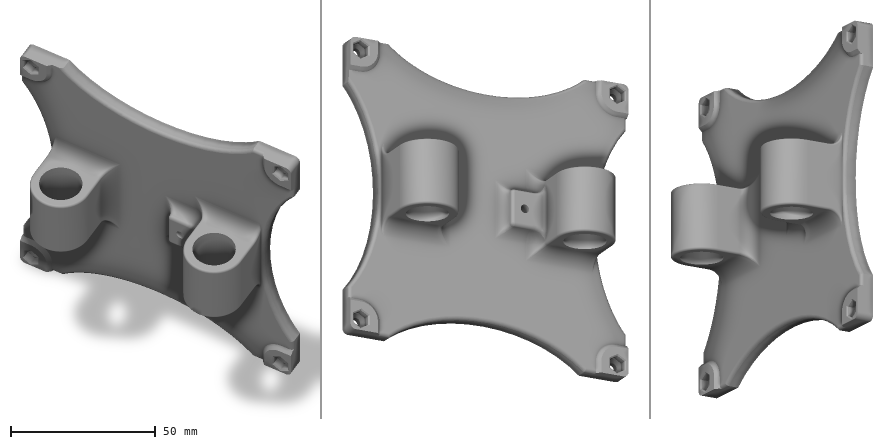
import cadquery as cq
import math

width = 107.5
height = 107.7
plate_thickness = 5.0
plate_edge_round = 1.2
corner_radius = 2.0

notch_depth = 11.8
notch_half_length = 47.4
notch_half_depth = 30.2

pad_thickness = 6.4
pad_radius = 7.8
hole_inset = 4.2
screw_diameter = 3.2
nut_flats = 5.6
nut_depth = 3.0
nut_chamfer = 0.4

barrel_spacing = 60.9
barrel_radius = 10.7
barrel_length = 23.9
barrel_reach = 29.6
bore_diameter = 15.0
flare_radius = 5.0
barrel_edge_round = 0.8

boss_left = 6.8
boss_width = 13.7
boss_height = 5.0
boss_hole_x = 11.8
boss_hole_diameter = 3.1
boss_base_round = 3.8
boss_edge_round = 1.3

front_y = -plate_thickness
root_y = front_y + plate_edge_round
bore_y = barrel_radius - barrel_reach
barrel_x = barrel_spacing / 2
barrel_inner_x = barrel_x - barrel_radius
boss_y = front_y - boss_height
hole_centres = [
    (side * (width / 2 - hole_inset), level * (height / 2 - hole_inset))
    for side in (-1, 1)
    for level in (-1, 1)
]

tolerance = 0.01


def front_plane(y=0):
    """Sketch plane facing -Y; local axes are X and Z."""
    return cq.Workplane("XZ", origin=(0, y, 0))



def is_rounded_plate_edge(edge):
    """All front edges are rounded except the straight ones at the upper left corner."""
    middle = edge.Center()
    upper_left = middle.x < 0 < middle.z
    return not (upper_left and edge.geomType() == "LINE")


def make_plate():
    plate = front_plane().rect(width, height).extrude(plate_thickness)
    half_sides = (height / 2, width / 2, height / 2, width / 2)
    for quarter, half_side in enumerate(half_sides):
        notch = (
            front_plane()
            .center(0, half_side - notch_depth + notch_half_depth)
            .ellipse(notch_half_length, notch_half_depth)
            .extrude(plate_thickness)
            .rotate((0, 0, 0), (0, 1, 0), 90 * quarter)
        )
        plate = plate.cut(notch)
    front_edges = plate.faces("<Y").edges().vals()
    rounded_edges = [edge for edge in front_edges if is_rounded_plate_edge(edge)]
    return plate.newObject(rounded_edges).fillet(plate_edge_round)


def make_pad(x, z):
    """Bevelled square pad centred on a plate corner, its near corner round about the screw hole."""
    side = 2 * (hole_inset + pad_radius)
    return (
        front_plane()
        .center(math.copysign(width / 2, x), math.copysign(height / 2, z))
        .rect(side, side)
        .extrude(pad_thickness)
        .edges("|Y")
        .fillet(pad_radius)
        .faces("<Y")
        .chamfer(pad_thickness - plate_thickness)
    )


def make_plate_with_pads():
    body = make_plate()
    for x, z in hole_centres:
        body = body.union(make_pad(x, z))
    outline = (
        front_plane()
        .rect(width, height)
        .extrude(pad_thickness)
        .edges("|Y")
        .fillet(corner_radius)
    )
    return body.intersect(outline)


def make_fastener_cutter():
    """Screw hole, hexagonal nut pocket with chamfered mouth, and a cone joining the two."""
    flats_to_corners = 1 / math.cos(math.pi / 6)
    mouth_flats = nut_flats + 2 * nut_chamfer
    cone_length = (nut_flats - screw_diameter) / 2
    pocket_floor_y = nut_depth - pad_thickness

    screw = front_plane().circle(screw_diameter / 2).extrude(pad_thickness)
    nut = front_plane(pocket_floor_y).polygon(6, nut_flats * flats_to_corners).extrude(nut_depth)
    mouth = (
        front_plane(-pad_thickness)
        .polygon(6, mouth_flats * flats_to_corners)
        .extrude(-nut_chamfer, taper=45)
    )
    cone = front_plane(pocket_floor_y).circle(nut_flats / 2).extrude(-cone_length, taper=45)
    pocket = nut.union(mouth).rotate((0, 0, 0), (0, 1, 0), 90)
    return pocket.union(cone).union(screw)



def make_barrel_blank():
    """Right barrel: a profile extruded along Z crossed with one extruded along X."""
    outer_x = barrel_x + barrel_radius
    half_length = barrel_length / 2
    foot_half = half_length + flare_radius
    foot_x = barrel_inner_x - flare_radius
    flare_y = front_y - flare_radius

    along_z = (
        cq.Workplane("XY", origin=(0, 0, -foot_half))
        .moveTo(outer_x, root_y)
        .lineTo(outer_x, bore_y)
        .threePointArc((barrel_x, -barrel_reach), (barrel_inner_x, bore_y))
        .lineTo(barrel_inner_x, flare_y)
        .radiusArc((foot_x, front_y), -flare_radius)
        .lineTo(foot_x, root_y)
        .close()
        .extrude(2 * foot_half)
    )
    along_x = (
        cq.Workplane("YZ", origin=(foot_x, 0, 0))
        .moveTo(root_y, -foot_half)
        .lineTo(front_y, -foot_half)
        .radiusArc((flare_y, -half_length), -flare_radius)
        .lineTo(-barrel_reach, -half_length)
        .lineTo(-barrel_reach, half_length)
        .lineTo(flare_y, half_length)
        .radiusArc((front_y, foot_half), -flare_radius)
        .lineTo(root_y, foot_half)
        .close()
        .extrude(outer_x - foot_x)
    )
    return along_z.intersect(along_x)


def is_barrel_rim(edge):
    """Sharp edges in front of the plate: end face rims and flare edges, not tangent lines."""
    if edge.Center().y > front_y - tolerance:
        return False
    tangent_line = edge.geomType() == "LINE" and abs(edge.tangentAt(0).y) < tolerance
    return not tangent_line


def make_barrel():
    barrel = make_barrel_blank()
    rim = [edge for edge in barrel.edges().vals() if is_barrel_rim(edge)]
    return barrel.newObject(rim).fillet(barrel_edge_round)


def make_bore(x):
    return (
        cq.Workplane("XY", origin=(x, bore_y, -barrel_length / 2))
        .circle(bore_diameter / 2)
        .extrude(barrel_length)
    )



def is_boss_base(edge):
    """Edges where the boss sides meet the plate and the flare of the barrel."""
    middle = edge.Center()
    on_side = abs(abs(middle.z) - boss_width / 2) < tolerance
    beside_barrel = boss_left + tolerance < middle.x < barrel_inner_x
    on_left = abs(middle.x - boss_left) < tolerance and abs(middle.z) < tolerance
    behind_top = middle.y > boss_y + tolerance
    return behind_top and (on_left or (on_side and beside_barrel))


def is_boss_top(edge):
    """Edges round the front face of the boss, including the one against the barrel."""
    middle = edge.Center()
    on_top = abs(middle.y - boss_y) < tolerance
    near_x = boss_left - tolerance < middle.x < barrel_inner_x + tolerance
    near_z = abs(middle.z) < boss_width / 2 + boss_base_round - tolerance
    return on_top and near_x and near_z


def is_boss_corner(edge):
    """The two left corners of the boss: upright edges and the mitres of the base fillet."""
    middle = edge.Center()
    near_x = boss_left - boss_base_round < middle.x < boss_left + tolerance
    off_centre = abs(middle.z) > tolerance
    return near_x and off_centre and boss_y + tolerance < middle.y < front_y - tolerance


def add_boss(body):
    boss = (
        front_plane(root_y)
        .center((boss_left + barrel_x) / 2, 0)
        .rect(barrel_x - boss_left, boss_width)
        .extrude(root_y - boss_y)
    )
    body = body.union(boss)
    base = [edge for edge in body.edges().vals() if is_boss_base(edge)]
    body = body.newObject(base).fillet(boss_base_round)
    outer = [edge for edge in body.edges().vals() if is_boss_top(edge) or is_boss_corner(edge)]
    return body.newObject(outer).fillet(boss_edge_round)



body = make_plate_with_pads()
fastener_cutter = make_fastener_cutter()
for x, z in hole_centres:
    body = body.cut(fastener_cutter.translate((x, 0, z)))

right_barrel = make_barrel()
body = body.union(right_barrel).union(right_barrel.mirror("YZ"))
body = add_boss(body)

for x in (-barrel_x, barrel_x):
    body = body.cut(make_bore(x))
boss_hole = front_plane().center(boss_hole_x, 0).circle(boss_hole_diameter / 2).extrude(-boss_y)
result = body.cut(boss_hole)